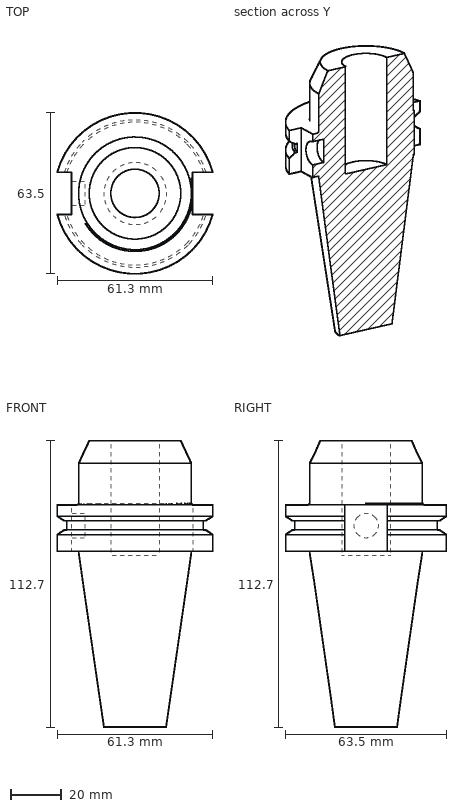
import cadquery as cq

total_height = 112.7

taper_tip_radius = 12.3
taper_top_radius = 22.2
taper_height = 68.4

flange_bottom = 69.1
flange_top = 87.5
flange_diameter = 63.5
flange_radius = flange_diameter / 2
groove_center = 79.3
groove_root_radius = 28.2
groove_root_width = 3.6
groove_mouth_width = 7.2
groove_ledge = 0.9

nose_radius = taper_top_radius
nose_end_radius = 18.0
nose_cone_height = 8.9
nose_base_fillet = 0.7
bore_diameter = 19.0
bore_depth = 45.1

slot_width = 16.6
left_slot_floor = 25.0
right_slot_floor = 22.7

dimple_diameter = 9.6
dimple_depth = 5.2


def make_shank():
    """Taper, with a short straight neck that meets the flange."""
    return (
        cq.Workplane("XZ")
        .moveTo(0, 0)
        .lineTo(taper_tip_radius, 0)
        .lineTo(taper_top_radius, taper_height)
        .lineTo(taper_top_radius, flange_bottom)
        .lineTo(0, flange_bottom)
        .close()
        .revolve(360, (0, 0), (0, 1))
    )


def make_flange():
    """Disc whose rim carries a groove with flared sides."""
    root_low = groove_center - groove_root_width / 2
    root_high = groove_center + groove_root_width / 2
    mouth_low = groove_center - groove_mouth_width / 2
    mouth_high = groove_center + groove_mouth_width / 2
    ledge_radius = groove_root_radius + groove_ledge
    return (
        cq.Workplane("XZ")
        .moveTo(0, flange_bottom)
        .lineTo(flange_radius, flange_bottom)
        .lineTo(flange_radius, mouth_low)
        .lineTo(ledge_radius, root_low)
        .lineTo(groove_root_radius, root_low)
        .lineTo(groove_root_radius, root_high)
        .lineTo(ledge_radius, root_high)
        .lineTo(flange_radius, mouth_high)
        .lineTo(flange_radius, flange_top)
        .lineTo(0, flange_top)
        .close()
        .revolve(360, (0, 0), (0, 1))
    )


def make_nose():
    """Cylinder with a conical end and a concave fillet around its base."""
    return (
        cq.Workplane("XZ")
        .moveTo(0, flange_top)
        .lineTo(nose_radius + nose_base_fillet, flange_top)
        .radiusArc((nose_radius, flange_top + nose_base_fillet), nose_base_fillet)
        .lineTo(nose_radius, total_height - nose_cone_height)
        .lineTo(nose_end_radius, total_height)
        .lineTo(0, total_height)
        .close()
        .revolve(360, (0, 0), (0, 1))
    )


def make_slot(side, floor):
    """Cutter for a drive slot on the side given by the sign of X."""
    depth = flange_radius - floor
    return (
        cq.Workplane("XY", origin=(side * (floor + depth / 2), 0, flange_bottom))
        .box(depth, slot_width, total_height - flange_bottom, centered=(True, True, False))
    )


def make_bore():
    """Cutter for the blind bore in the nose."""
    return (
        cq.Workplane("XY", origin=(0, 0, total_height - bore_depth))
        .circle(bore_diameter / 2)
        .extrude(bore_depth)
    )


def make_dimple():
    """Cutter for the flat-bottomed hole in the left slot floor."""
    return (
        cq.Workplane("YZ", origin=(-left_slot_floor, 0, groove_center))
        .circle(dimple_diameter / 2)
        .extrude(dimple_depth)
    )


body = make_shank().union(make_flange()).union(make_nose())
result = (
    body.cut(make_slot(-1, left_slot_floor))
    .cut(make_slot(1, right_slot_floor))
    .cut(make_bore())
    .cut(make_dimple())
)